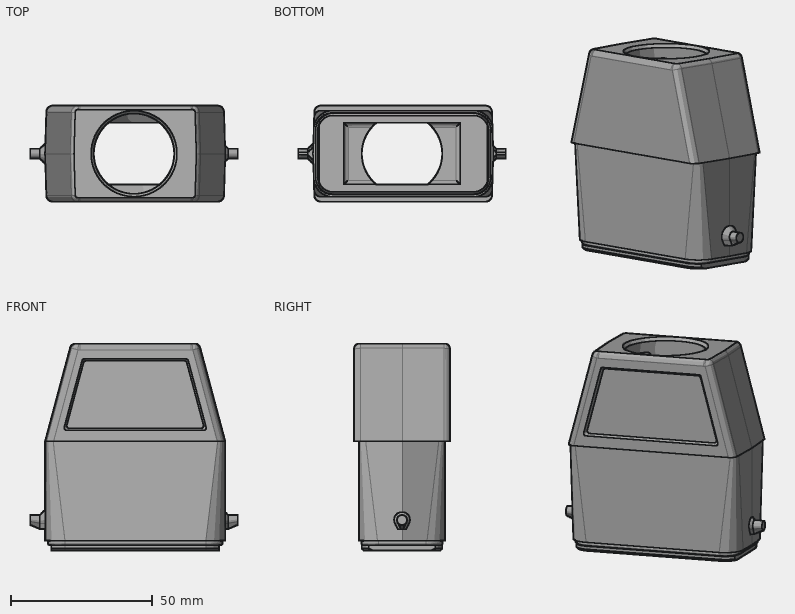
import cadquery as cq
import math

HEIGHT = 72.95
PIN_SPAN = 73.19
BODY_X = 0.41

SHOULDER_Z = 38.5
LOWER_BASE_Z = 3.5
HALF_X = 31.8
CROWN = 0.5
UPPER_HALF_Y = 17.0
LOWER_HALF_Y = 15.2
END_SLOPE = math.tan(math.radians(15))
CORNER_R = 2.4
BASE_CORNER_R = 6.7
TOP_FILLET_R = 2.2
TOP_TRIM = 0.12

RIM_CORNER_X = 24.85
RIM_CORNER_Y = 8.4
BEAD_R = 6.0
BEAD_D = 1.52
BEAD_Z = 2.72
RIM_TOP_Z = 1.9
RIM_R = 5.85
RIM_CHAMFER = 0.8
RIM_HALF_X = 29.63

ENTRY_D = 28.3
ENTRY_CHAMFER = 1.0
ENTRY_CHAMFER_DEPTH = 1.2
ENTRY_END_Z = 56.3
ENTRY_CONE_SLOPE = math.tan(math.radians(35))

CAVITY_HALF_X = 20.5
CAVITY_HALF_Y = 10.83
CAVITY_TOP_Z = 68.0
CAVITY_FILLET_R = 1.5

LABEL_BASE_Z = 42.4
LABEL_TOP_Z = 67.6
LABEL_BASE_HALF_X = 25.3
LABEL_DEPTH = 1.2
LABEL_WALL_LEAN = 0.7
LABEL_CORNER_R = 0.9

PIN_Z = 10.8
PIN_R = 1.78
PIN_ROOT_X = 33.2
PIN_EMBED_X = 29.5
TIP_FLANK_DROP = 0.44
ROOT_FLANK_DROP = 1.1
CONE_FLANK_DROP = 1.3
TIP_KEEL_ANGLE = math.radians(-76)
KEEL_DROP = 3.2
KEEL_HALF_WIDTH = 0.45


def rounded_box(half_x, half_y, corner_r, z_base, z_top):
    """Upright box centred on the body with rounded vertical corners."""
    box = cq.Workplane("XY", origin=(BODY_X, 0, z_base)).rect(2 * half_x, 2 * half_y)
    return box.extrude(z_top - z_base).edges("|Z").fillet(corner_r)


def crowned_wire(half_x, half_y, corner_r, z):
    """Outline whose two ends rise to a sharp crown line at Y = 0, with round corners."""
    side_x = half_x - CROWN
    corners = [
        (half_x, 0), (side_x, half_y), (-side_x, half_y),
        (-half_x, 0), (-side_x, -half_y), (side_x, -half_y),
    ]
    points = [cq.Vector(BODY_X + x, y, z) for x, y in corners]
    wire = cq.Wire.makePolygon(points, close=True)
    rounded = [v for v in wire.Vertices() if abs(v.Y) > half_y / 2]
    return wire.fillet2D(corner_r, rounded)


def flat_sided_solid(base, top):
    """Solid with flat faces between two matching rings of corner points."""
    rings = [base, top]
    for i in range(len(base)):
        rings.append([base[i - 1], base[i], top[i], top[i - 1]])
    faces = [cq.Face.makeFromWires(cq.Wire.makePolygon(ring, close=True)) for ring in rings]
    return cq.Workplane(cq.Solid.makeSolid(cq.Shell.makeShell(faces)))


def lower_body():
    """Straight skirt whose corner radius grows toward the bottom."""
    base = crowned_wire(HALF_X, LOWER_HALF_Y, BASE_CORNER_R, LOWER_BASE_Z)
    top = crowned_wire(HALF_X, LOWER_HALF_Y, CORNER_R, SHOULDER_Z)
    return cq.Workplane(cq.Solid.makeLoft([base, top], True))


def upper_body():
    """Head with sloping ends and rounded edges, trimmed flat on top.

    The +Y half is made oversize, rounded and trimmed at Y = 0, then mirrored.
    """
    rounded_top_z = HEIGHT + TOP_TRIM

    def corners(z):
        crown_x = HALF_X - END_SLOPE * (z - SHOULDER_Z)
        outer_x = crown_x - CROWN
        inner_x = crown_x + CROWN
        ring = [
            (outer_x, UPPER_HALF_Y), (-outer_x, UPPER_HALF_Y),
            (-inner_x, -UPPER_HALF_Y), (inner_x, -UPPER_HALF_Y),
        ]
        return [cq.Vector(BODY_X + x, y, z) for x, y in ring]

    half = flat_sided_solid(corners(SHOULDER_Z), corners(rounded_top_z))
    half = half.faces(">Y").edges("not #Z").fillet(CORNER_R)
    half = half.faces(">Z").edges().fillet(TOP_FILLET_R)
    keep = cq.Workplane("XY", origin=(BODY_X, UPPER_HALF_Y / 2, SHOULDER_Z))
    keep = keep.rect(2 * HALF_X, UPPER_HALF_Y).extrude(HEIGHT - SHOULDER_Z)
    half = half.intersect(keep)
    return half.union(half.mirror("XZ"))


def bead():
    """Round seal bead around the foot of the skirt, with the neck that it sits on."""
    path_r = BEAD_R - BEAD_D / 2
    half_x = RIM_CORNER_X + path_r
    half_y = RIM_CORNER_Y + path_r
    neck = rounded_box(half_x, half_y, path_r, RIM_TOP_Z, LOWER_BASE_Z)
    path = cq.Workplane("XY", origin=(BODY_X, 0, BEAD_Z)).moveTo(-RIM_CORNER_X, -half_y)
    path = path.lineTo(RIM_CORNER_X, -half_y)
    path = path.tangentArcPoint((half_x, -RIM_CORNER_Y), relative=False)
    path = path.lineTo(half_x, RIM_CORNER_Y)
    path = path.tangentArcPoint((RIM_CORNER_X, half_y), relative=False)
    path = path.lineTo(-RIM_CORNER_X, half_y)
    path = path.tangentArcPoint((-half_x, RIM_CORNER_Y), relative=False)
    path = path.lineTo(-half_x, -RIM_CORNER_Y)
    path = path.tangentArcPoint((-RIM_CORNER_X, -half_y), relative=False).close()
    section = cq.Workplane("YZ", origin=(BODY_X - RIM_CORNER_X, -half_y, BEAD_Z))
    ring = section.circle(BEAD_D / 2).sweep(path)
    return neck.union(ring)


def rim():
    """Chamfered rim, cut flat at both ends."""
    half_x = RIM_CORNER_X + RIM_R
    half_y = RIM_CORNER_Y + RIM_R
    plug = rounded_box(half_x, half_y, RIM_R, 0, RIM_TOP_Z)
    plug = plug.faces("<Z").edges().chamfer(RIM_CHAMFER)
    end_trim = cq.Workplane("XY", origin=(BODY_X, 0, 0)).rect(2 * RIM_HALF_X, 2 * half_y)
    return plug.intersect(end_trim.extrude(RIM_TOP_Z))


def pin_section(x, radius, flank_drop, keel_half_width):
    """Round section at X = x whose straight flanks run down to a flat keel."""
    flank_y = math.sqrt(radius**2 - flank_drop**2)
    flank_z = PIN_Z - flank_drop
    keel_z = PIN_Z - KEEL_DROP
    right_flank = cq.Vector(x, flank_y, flank_z)
    left_flank = cq.Vector(x, -flank_y, flank_z)
    right_keel = cq.Vector(x, keel_half_width, keel_z)
    left_keel = cq.Vector(x, -keel_half_width, keel_z)
    crest = cq.Vector(x, 0, PIN_Z + radius)
    return cq.Wire.assembleEdges([
        cq.Edge.makeThreePointArc(right_flank, crest, left_flank),
        cq.Edge.makeLine(left_flank, left_keel),
        cq.Edge.makeLine(left_keel, right_keel),
        cq.Edge.makeLine(right_keel, right_flank),
    ])


def pin_tip_section(x):
    """Full circle, divided where the flanks and the keel of the pin end."""
    def on_circle(angle):
        return cq.Vector(x, PIN_R * math.cos(angle), PIN_Z + PIN_R * math.sin(angle))

    def arc(start, end):
        middle = (start + end) / 2
        return cq.Edge.makeThreePointArc(on_circle(start), on_circle(middle), on_circle(end))

    right_flank = -math.asin(TIP_FLANK_DROP / PIN_R)
    left_flank = math.pi - right_flank
    right_keel = TIP_KEEL_ANGLE + 2 * math.pi
    left_keel = math.pi - TIP_KEEL_ANGLE
    return cq.Wire.assembleEdges([
        arc(right_flank, left_flank),
        arc(left_flank, left_keel),
        arc(left_keel, right_keel),
        arc(right_keel, right_flank + 2 * math.pi),
    ])


def locking_pin():
    """Pin on the +X end: 45 degree root cone, then a pin with a tapering keel."""
    spread = PIN_ROOT_X - PIN_EMBED_X
    embedded = pin_section(PIN_EMBED_X, PIN_R + spread, CONE_FLANK_DROP, KEEL_HALF_WIDTH + spread)
    root = pin_section(PIN_ROOT_X, PIN_R, ROOT_FLANK_DROP, KEEL_HALF_WIDTH)
    tip = pin_tip_section(PIN_SPAN / 2)
    cone = cq.Workplane(cq.Solid.makeLoft([embedded, root], True))
    return cone.union(cq.Workplane(cq.Solid.makeLoft([root, tip], True)))


def label_recess():
    """Trapezoid recess with leaning walls, parallel to the sloping ends."""
    def outline(inset, y):
        base_z = LABEL_BASE_Z + inset
        top_z = LABEL_TOP_Z - inset
        edge_inset = inset / math.cos(math.atan(END_SLOPE))
        base_half_x = LABEL_BASE_HALF_X - edge_inset - END_SLOPE * inset
        top_half_x = base_half_x - END_SLOPE * (top_z - base_z)
        corners = [
            (base_half_x, base_z), (top_half_x, top_z),
            (-top_half_x, top_z), (-base_half_x, base_z),
        ]
        points = [cq.Vector(BODY_X + x, y, z) for x, z in corners]
        wire = cq.Wire.makePolygon(points, close=True)
        return wire.fillet2D(LABEL_CORNER_R, wire.Vertices())

    mouth = outline(0, -UPPER_HALF_Y)
    floor = outline(LABEL_WALL_LEAN, -UPPER_HALF_Y + LABEL_DEPTH)
    return cq.Workplane(cq.Solid.makeLoft([mouth, floor], True))


def cable_entry():
    """Round entry with a chamfered mouth and a conical lower end."""
    radius = ENTRY_D / 2
    cone_end_z = ENTRY_END_Z - ENTRY_CONE_SLOPE * radius
    profile = cq.Workplane("XZ").polyline([
        (0, HEIGHT),
        (radius + ENTRY_CHAMFER, HEIGHT),
        (radius, HEIGHT - ENTRY_CHAMFER_DEPTH),
        (radius, ENTRY_END_Z),
        (0, cone_end_z),
    ]).close()
    return profile.revolve(360, (0, 0, 0), (0, 1, 0))


def cavity():
    """Contact cavity, open at the bottom, with a rounded ceiling."""
    block = cq.Workplane("XY").rect(2 * CAVITY_HALF_X, 2 * CAVITY_HALF_Y).extrude(CAVITY_TOP_Z)
    return block.faces(">Z").edges().fillet(CAVITY_FILLET_R)


pin = locking_pin()
hood = lower_body().union(upper_body()).union(bead()).union(rim())
hood = hood.union(pin).union(pin.mirror("YZ"))
result = hood.cut(label_recess()).cut(cavity()).cut(cable_entry())